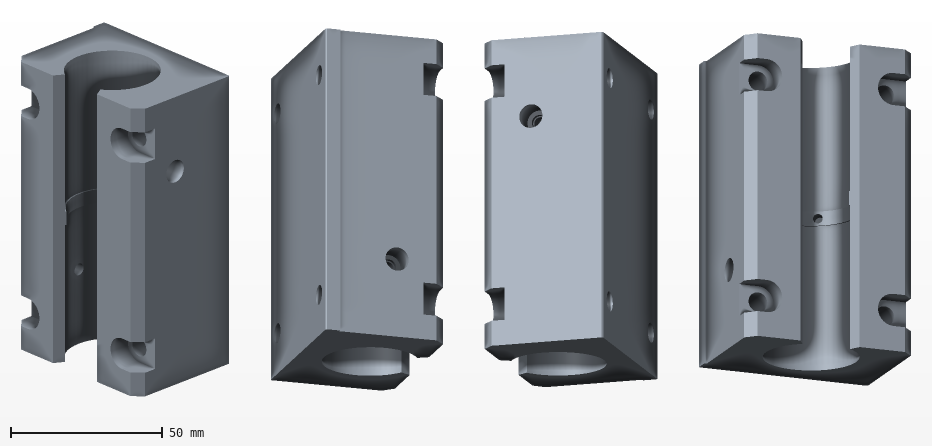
import cadquery as cq
import math

width = 60.0
depth = 42.0
length = 104.0
left_x = -width / 2
right_x = width / 2
front_y = -depth / 2
back_y = depth / 2

lip_step = 0.8
lip_depth = 5.0
front_chamfer = 3.4
back_chamfer = 0.4
wall_x = left_x + lip_step

bore_y = -4.0
bore_radius = 16.0
land_radius = 15.5
land_length = 4.9
mouth_half_width = 10.5
mouth_angle = math.radians(30)

mount_spacing_x = 45.0
mount_spacing_z = 75.9
mount_diameter = 6.7
pocket_width = 11.0
pocket_depth = 7.9

side_hole_offset = 25.2
mouth_diameter = 8.0
mouth_depth = 9.0
middle_diameter = 5.0
middle_depth = 10.4
inner_diameter = 4.2

pin_diameter = 3.2
pin_end_radius = 20.0
pin_angle = math.radians(30)


def make_block():
    """Extrude the outline, with a locating lip at the back of the left side."""
    return (
        cq.Workplane("XY")
        .workplane(offset=-length / 2)
        .moveTo(left_x + back_chamfer, back_y)
        .lineTo(right_x - back_chamfer, back_y)
        .lineTo(right_x, back_y - back_chamfer)
        .lineTo(right_x, front_y + front_chamfer)
        .lineTo(right_x - front_chamfer, front_y)
        .lineTo(wall_x + front_chamfer, front_y)
        .lineTo(wall_x, front_y + front_chamfer)
        .lineTo(wall_x, back_y - lip_depth)
        .lineTo(left_x, back_y - lip_depth)
        .lineTo(left_x, back_y - back_chamfer)
        .close()
        .extrude(length)
    )


def bore_cylinder(radius, height):
    """Cylinder on the bore axis, centred along the block."""
    return cq.Workplane("XY").center(0, bore_y).circle(radius).extrude(height / 2, both=True)


def make_bore():
    """Bore, stepped down at the land, with its tapered mouth at the front."""
    land = bore_cylinder(bore_radius, land_length).cut(bore_cylinder(land_radius, land_length))
    bore = bore_cylinder(bore_radius, length).cut(land)
    apex_y = front_y + mouth_half_width / math.tan(mouth_angle)
    mouth = (
        cq.Workplane("XY")
        .polyline([(-mouth_half_width, front_y), (mouth_half_width, front_y), (0, apex_y)])
        .close()
        .extrude(length / 2, both=True)
    )
    return bore.union(mouth)


def make_mount_hole(side, z):
    """Through hole and round-ended pocket running out of one side (-1 or 1)."""
    x = side * mount_spacing_x / 2
    axis = cq.Vector(0, 1, 0)
    front = cq.Vector(x, front_y, z)
    hole = cq.Solid.makeCylinder(mount_diameter / 2, depth, front, axis)
    round_end = cq.Solid.makeCylinder(pocket_width / 2, pocket_depth, front, axis)
    run_out = right_x - mount_spacing_x / 2
    channel = cq.Workplane("XY").box(run_out, pocket_depth, pocket_width).translate(
        (x + side * run_out / 2, front_y + pocket_depth / 2, z)
    )
    return channel.union(cq.Workplane(round_end)).union(cq.Workplane(hole))


def make_side_hole(side):
    """Radial hole from one side wall to the bore, stepping down twice."""
    outer_x = right_x if side > 0 else wall_x
    start = cq.Vector(outer_x, bore_y, side * side_hole_offset)
    steps = [
        (mouth_diameter, mouth_depth),
        (middle_diameter, middle_depth),
        (inner_diameter, abs(outer_x)),
    ]
    hole = cq.Workplane("XY")
    for diameter, reach in steps:
        hole = hole.add(cq.Solid.makeCylinder(diameter / 2, reach, start, cq.Vector(-side, 0, 0)))
    return hole.combine()


def make_pin_hole():
    """Blind hole reaching outward from the bore axis through the land."""
    direction = cq.Vector(math.sin(pin_angle), math.cos(pin_angle), 0)
    start = cq.Vector(0, bore_y, 0)
    return cq.Workplane(cq.Solid.makeCylinder(pin_diameter / 2, pin_end_radius, start, direction))


result = make_block().cut(make_bore()).cut(make_pin_hole())
for side in (-1, 1):
    result = result.cut(make_side_hole(side))
    for end in (-1, 1):
        result = result.cut(make_mount_hole(side, end * mount_spacing_z / 2))